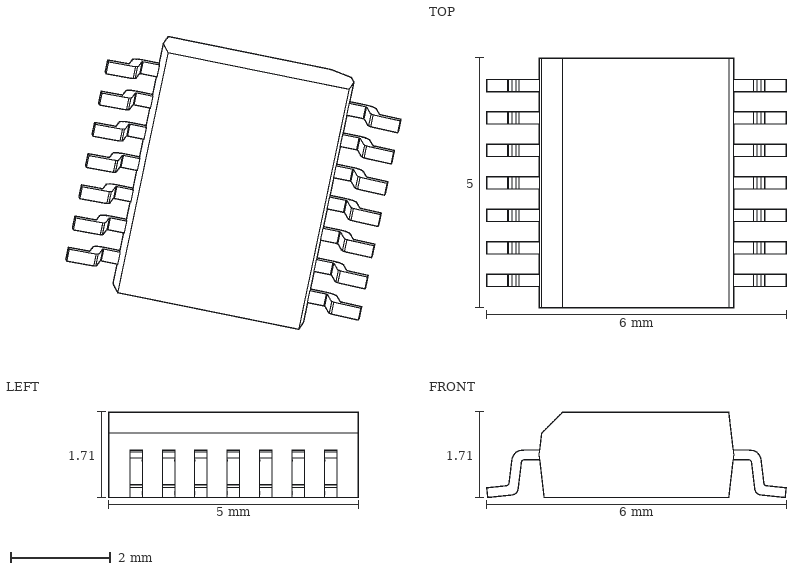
import cadquery as cq
import math

body_length = 5.0
body_height = 1.71
waist_half_width = 1.95
face_half_width = 1.85
waist_height = 0.86
chamfer_width = 0.37
chamfer_drop = 0.42

leads_per_side = 7
lead_pitch = 0.65
lead_width = 0.25
lead_thickness = 0.2
lead_span = 6.0
lead_embed = 0.3
arm_top_height = 0.955
foot_slope = math.radians(6)
leg_lean = math.radians(7)

shoulder_start_x = 2.24
shoulder_facets = [(0.108, 6), (0.071, 27), (0.075, 50), (0.073, 63)]

facets_per_bend = 3
shoulder_inner_radius = 0.05
heel_upper_radius = 0.05
heel_lower_radius = 0.13


def side_half_width(height):
    """Half width of the drafted body at a height above its waist."""
    draft = (waist_half_width - face_half_width) / (body_height - waist_height)
    return waist_half_width - draft * (height - waist_height)


def make_body():
    """Drafted section, with the -X top edge cut back along the whole length."""
    chamfer_foot_z = body_height - chamfer_drop
    outline = [
        (-face_half_width, 0),
        (face_half_width, 0),
        (waist_half_width, waist_height),
        (face_half_width, body_height),
        (-face_half_width + chamfer_width, body_height),
        (-side_half_width(chamfer_foot_z), chamfer_foot_z),
        (-waist_half_width, waist_height),
    ]
    return cq.Workplane("XZ").polyline(outline).close().extrude(body_length / 2, both=True)


def faceted_bend(before, corner, after, radius):
    """Points that replace a sharp corner by equal facets inscribed in a tangent arc."""
    heading_in = math.atan2(corner[1] - before[1], corner[0] - before[0])
    heading_out = math.atan2(after[1] - corner[1], after[0] - corner[0])
    turn = math.remainder(heading_out - heading_in, 2 * math.pi)
    setback = radius * math.tan(abs(turn) / 2)
    x = corner[0] - setback * math.cos(heading_in)
    z = corner[1] - setback * math.sin(heading_in)
    points = [(x, z)]
    facet_turn = turn / facets_per_bend
    facet_length = 2 * radius * math.sin(abs(facet_turn) / 2)
    for index in range(facets_per_bend):
        heading = heading_in + (index + 0.5) * facet_turn
        x += facet_length * math.cos(heading)
        z += facet_length * math.sin(heading)
        points.append((x, z))
    return points


def shoulder_points():
    """Outer shoulder, walked facet by facet from the arm to the top of the leg."""
    x, z = shoulder_start_x, arm_top_height
    points = [(x, z)]
    for length, tilt in shoulder_facets:
        x += length * math.cos(math.radians(tilt))
        z -= length * math.sin(math.radians(tilt))
        points.append((x, z))
    return points


def leg_foot_corner(leg_point, foot_point):
    """Where the leaning line through leg_point meets the sloping line through foot_point."""
    lean = math.tan(leg_lean)
    slope = math.tan(foot_slope)
    drop = leg_point[1] - foot_point[1] - (foot_point[0] - leg_point[0]) * slope
    fall = drop / (1 - lean * slope)
    return leg_point[0] + fall * lean, leg_point[1] - fall


def make_lead():
    """One +X lead, centred on Y = 0, with its toe resting at Z = 0."""
    toe_top = (lead_span / 2, lead_thickness * math.cos(foot_slope))
    toe_bottom = (lead_span / 2 - lead_thickness * math.sin(foot_slope), 0)

    root_x = waist_half_width - lead_embed
    arm_bottom_height = arm_top_height - lead_thickness
    root_top = (root_x, arm_top_height)
    root_bottom = (root_x, arm_bottom_height)

    shoulder = shoulder_points()
    leg_top = shoulder[-1]
    inner_leg_x = (
        leg_top[0]
        + (leg_top[1] - arm_bottom_height) * math.tan(leg_lean)
        - lead_thickness / math.cos(leg_lean)
    )
    shoulder_inner = (inner_leg_x, arm_bottom_height)
    heel_upper = leg_foot_corner(leg_top, toe_top)
    heel_lower = leg_foot_corner(shoulder_inner, toe_bottom)

    outline = [
        root_top,
        *shoulder,
        *faceted_bend(leg_top, heel_upper, toe_top, heel_upper_radius),
        toe_top,
        toe_bottom,
        *faceted_bend(toe_bottom, heel_lower, shoulder_inner, heel_lower_radius),
        *faceted_bend(heel_lower, shoulder_inner, root_bottom, shoulder_inner_radius),
        root_bottom,
    ]
    return cq.Workplane("XZ").polyline(outline).close().extrude(lead_width / 2, both=True)


def add_leads(body):
    """Join an evenly pitched row of leads to the +X side and its mirror image to the -X side."""
    right_lead = make_lead()
    left_lead = right_lead.mirror("YZ")
    for index in range(leads_per_side):
        y = (index - (leads_per_side - 1) / 2) * lead_pitch
        body = body.union(right_lead.translate((0, y, 0)))
        body = body.union(left_lead.translate((0, y, 0)))
    return body


result = add_leads(make_body())